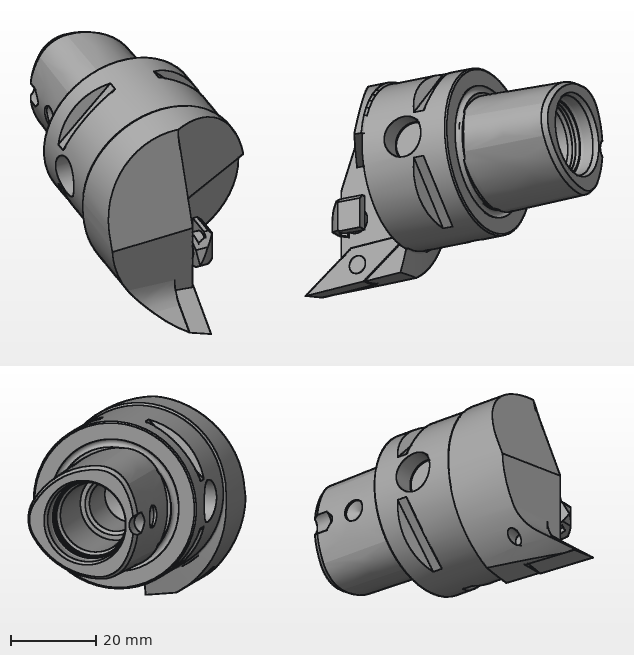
import cadquery as cq
import math


SHANK_LENGTH = 22.2
SHANK_TAPER = math.degrees(math.atan(1 / 40))
LOBE_REACH = 14.9
FLAT_REACH = 13.2
LOBE_CENTER = 6.3
SHANK_CHAMFER_LENGTH = 1.3
SHANK_CHAMFER_DEPTH = 0.75
COLLAR_START = 23.45
COLLAR_RADIUS = 14.0

FLANGE_START = 24.0
FLANGE_RADIUS = 20.0
FLANGE_CHAMFER = 0.4
FACE_GROOVE_OUTER_RADIUS = 15.75
GRIP_X = 31.9
GRIP_FLOOR_WIDTH = 2.6
GRIP_FLOOR_HEIGHT = 17.55
GRIP_HALF_ANGLE = 30.0
CHIP_HOLE_X = 35.8
CHIP_HOLE_DIAMETER = 10.0
FLOOR_BEVEL = 0.15
CHIP_HOLE_FLOOR = 14.6

BORE_STEPS = [
    (0.0, 10.1),
    (1.25, 9.55),
    (3.85, 9.55),
    (4.6, 9.3),
    (4.6, 8.95),
    (5.7, 8.95),
    (5.7, 9.1),
    (6.6, 9.1),
    (6.6, 8.95),
    (7.4, 8.3),
    (23.7, 8.3),
    (23.7, 7.1),
    (24.4, 6.3),
]
BORE_DEPTH = 37.0
DRILL_POINT_ANGLE = 118.0
KEY_HOLE_DIAMETER = 5.25
KEY_HOLE_OFFSET = 13.5
KEY_HOLE_DEPTH = 4.15
KEY_HOLE_POINT_ANGLE = 90.0
SIDE_HOLE_DIAMETER = 5.3
SIDE_HOLE_X = 12.5
SIDE_HOLE_FLOOR = 12.1

HEAD_FILLET_START = 46.1
HEAD_FILLET_MIDDLE = (46.6, 20.1)
HEAD_START = 46.85
HEAD_RADIUS = 20.5
HEAD_BACK_SLOPE = 0.28
OVERHANG_RADIUS = 25.0
OVERHANG_TOP = -2.95
HEAD_FRONT = 64.45
FRONT_RELIEF = 4.2
FRONT_FILLET = 6.65
WALL_Y = -0.3
CHIP_ROOF_Z = 2.6
SLANT_X = 63.6
SLANT_NORMAL = (1, -0.105, 0.366)
SIDE_SLANT_NORMAL = (1, 0.55, 0.22)

TOTAL_LENGTH = 74.0
TIP_Z = -27.0
INSERT_SIDE = 15.8
INSERT_ANGLE = 35.0
INSERT_TILT = 3.0
INSERT_THICKNESS = 4.8
INSERT_CLEARANCE = 7.0
SCREW_HEAD_DIAMETER = 4.4
SCREW_DIAMETER = 3.0
SCREW_LENGTH = 9.6

NOZZLE_STEM_X = 60.3
NOZZLE_STEM_Z = -10.7
NOZZLE_STEM_DIAMETER = 6.1
NOZZLE_BACK_X = 55.5
NOZZLE_UPPER_Z = -6.65
NOZZLE_LOWER_Z = -15.0
NOZZLE_HEAD_BASE = 4.0
NOZZLE_HEAD_TOP = 6.2
NOZZLE_HEAD_CHAMFER = 1.1
NOZZLE_HEAD_END_X = 61.6
NOZZLE_TIP_X = 66.2
NOZZLE_TIP_Y = 0.8
NOZZLE_TIP_Z = -12.6
NOZZLE_BEAK_MIDDLE = (64.2, 3.85)
NOZZLE_SCOOP = [
    (63.35, 0.45),
    (61.9, 0.3),
    (61.7, 1.3),
    (63.3, 1.8),
    (62.45, NOZZLE_HEAD_BASE),
]
NOZZLE_BEAK_ROOT_X = 64.4
NOZZLE_BEAK_UPPER_Z = -9.2
NOZZLE_BEAK_LOWER_Z = -14.05
NOZZLE_LOWER_END_X = 60.7

FAR = 148.0


def half_space(origin, normal):
    plane = cq.Plane(origin=origin, normal=normal)
    return cq.Workplane(plane).box(FAR, FAR, FAR, centered=(True, True, False))


def revolved(profile):
    """Turn an (x, radius) profile about the tool axis."""
    return profile.close().revolve(360, (0, 0, 0), (1, 0, 0))


def drill(diameter, depth, point_angle, bevel=0):
    """Drill body along +Z with a conical point beyond depth and an optional bevel before it."""
    radius = diameter / 2
    point_radius = radius - bevel
    point = point_radius / math.tan(math.radians(point_angle / 2))
    outline = [(0, 0), (radius, 0), (radius, depth - bevel)]
    if bevel > 0:
        outline.append((point_radius, depth))
    outline.append((0, depth + point))
    return cq.Workplane("XZ").polyline(outline).close().revolve(360, (0, 0, 0), (0, 1, 0))


def shank_outline(x, inset):
    """Rounded triangle of six tangent arcs at the given x, shrunk evenly by inset."""
    lobe_radius = LOBE_REACH - LOBE_CENTER
    gap = FLAT_REACH - lobe_radius
    flat_center = (LOBE_CENTER**2 - gap**2) / (2 * gap - LOBE_CENTER)
    flat_radius = FLAT_REACH + flat_center
    along = -LOBE_CENTER / 2 - flat_center
    across = LOBE_CENTER * math.sqrt(3) / 2
    join_angle = math.atan2(across, along)
    join_y = flat_center + (flat_radius - inset) * math.cos(join_angle)
    join_z = (flat_radius - inset) * math.sin(join_angle)
    join_reach = math.hypot(join_y, join_z)
    half_flat = math.pi - math.atan2(join_z, join_y)

    def polar(reach, angle):
        return (reach * math.cos(angle), reach * math.sin(angle))

    third = 2 * math.pi / 3
    outline = cq.Workplane("YZ", origin=(x, 0, 0)).moveTo(*polar(join_reach, math.pi - half_flat))
    for index in range(3):
        flat_middle = math.pi + index * third
        flat_end = flat_middle + half_flat
        lobe_middle = flat_middle + third / 2
        lobe_end = flat_middle + third - half_flat
        outline = outline.threePointArc(polar(FLAT_REACH - inset, flat_middle), polar(join_reach, flat_end))
        outline = outline.threePointArc(polar(LOBE_REACH - inset, lobe_middle), polar(join_reach, lobe_end))
    return outline.close()


def make_shank():
    taper_length = SHANK_LENGTH - SHANK_CHAMFER_LENGTH
    small_inset = taper_length * math.tan(math.radians(SHANK_TAPER))
    chamfer_angle = math.degrees(math.atan(SHANK_CHAMFER_DEPTH / SHANK_CHAMFER_LENGTH))
    shank = shank_outline(SHANK_LENGTH, 0).extrude(-taper_length, taper=SHANK_TAPER)
    end = shank_outline(SHANK_CHAMFER_LENGTH, small_inset)
    end = end.extrude(-SHANK_CHAMFER_LENGTH, taper=chamfer_angle)
    round_end = [
        (SHANK_LENGTH, 0),
        (SHANK_LENGTH, LOBE_REACH),
        (SHANK_LENGTH + LOBE_REACH - COLLAR_RADIUS, COLLAR_RADIUS),
        (FLANGE_START, COLLAR_RADIUS),
        (FLANGE_START, 0),
    ]
    neck = shank_outline(SHANK_LENGTH, 0).extrude(FLANGE_START - SHANK_LENGTH)
    neck = neck.intersect(revolved(cq.Workplane("XY").polyline(round_end)))
    collar = cq.Workplane("YZ", origin=(COLLAR_START, 0, 0)).circle(COLLAR_RADIUS)
    collar = collar.extrude(FLANGE_START - COLLAR_START)
    return shank.union(end).union(neck).union(collar)


def grip_groove(angle):
    """V-shaped groove running straight across the flange, facing the given angle from +Z."""
    height = FLANGE_RADIUS - GRIP_FLOOR_HEIGHT
    half_floor = GRIP_FLOOR_WIDTH / 2
    half_top = half_floor + height * math.tan(math.radians(GRIP_HALF_ANGLE))
    top = GRIP_FLOOR_HEIGHT + height
    outline = [
        (GRIP_X - half_floor, GRIP_FLOOR_HEIGHT),
        (GRIP_X + half_floor, GRIP_FLOOR_HEIGHT),
        (GRIP_X + half_top, top),
        (GRIP_X - half_top, top),
    ]
    half_chord = math.sqrt(FLANGE_RADIUS**2 - GRIP_FLOOR_HEIGHT**2)
    groove = cq.Workplane("XZ").polyline(outline).close().extrude(half_chord, both=True)
    return groove.rotate((0, 0, 0), (1, 0, 0), angle)


def make_flange():
    length = HEAD_START - FLANGE_START
    flange = cq.Workplane("YZ", origin=(FLANGE_START, 0, 0)).circle(FLANGE_RADIUS).extrude(length)
    flange = flange.faces("<X").chamfer(FLANGE_CHAMFER)
    groove_radius = (FACE_GROOVE_OUTER_RADIUS - COLLAR_RADIUS) / 2
    face_groove = (
        cq.Workplane("XY")
        .moveTo(FLANGE_START, COLLAR_RADIUS)
        .threePointArc(
            (FLANGE_START + groove_radius, COLLAR_RADIUS + groove_radius),
            (FLANGE_START, FACE_GROOVE_OUTER_RADIUS),
        )
    )
    flange = flange.cut(revolved(face_groove))
    for angle in (45, 135, 225, 315):
        flange = flange.cut(grip_groove(angle))
    return flange


def chip_hole(side):
    """Flat-bottomed hole in the flange on the +Y (side = 1) or -Y (side = -1) face."""
    plane = cq.Plane(origin=(CHIP_HOLE_X, side * CHIP_HOLE_FLOOR, 0), normal=(0, side, 0))
    hole = cq.Workplane(plane).circle(CHIP_HOLE_DIAMETER / 2).extrude(FLANGE_RADIUS)
    floor = "<Y" if side > 0 else ">Y"
    return hole.faces(floor).chamfer(FLOOR_BEVEL)


def make_bore():
    last_radius = BORE_STEPS[-1][1]
    point = last_radius / math.tan(math.radians(DRILL_POINT_ANGLE / 2))
    wall = [(0, 0), *BORE_STEPS, (BORE_DEPTH, last_radius), (BORE_DEPTH + point, 0)]
    return revolved(cq.Workplane("XY").polyline(wall))


def key_hole():
    tool = drill(KEY_HOLE_DIAMETER, KEY_HOLE_DEPTH, KEY_HOLE_POINT_ANGLE)
    tool = tool.rotate((0, 0, 0), (0, 1, 0), 90)
    return tool.translate((0, -KEY_HOLE_OFFSET, 0))


def side_hole():
    straight = FLANGE_RADIUS - SIDE_HOLE_FLOOR
    tool = drill(SIDE_HOLE_DIAMETER, straight, DRILL_POINT_ANGLE, FLOOR_BEVEL)
    tool = tool.rotate((0, 0, 0), (1, 0, 0), -90)
    return tool.translate((SIDE_HOLE_X, -FLANGE_RADIUS, 0))


def head_blank():
    """Round head with the overhang below it, bounded at the back by a fillet and a cone."""
    overhang_y = OVERHANG_RADIUS - HEAD_RADIUS
    bottom_z = OVERHANG_TOP - math.sqrt(OVERHANG_RADIUS**2 - (overhang_y - WALL_Y) ** 2)
    roof_y = math.sqrt(HEAD_RADIUS**2 - CHIP_ROOF_Z**2)
    middle = math.atan2(OVERHANG_TOP - bottom_z, overhang_y - WALL_Y) / 2
    arc_middle = (
        overhang_y - OVERHANG_RADIUS * math.cos(middle),
        OVERHANG_TOP - OVERHANG_RADIUS * math.sin(middle),
    )
    section = (
        cq.Workplane("YZ", origin=(HEAD_FILLET_START, 0, 0))
        .moveTo(WALL_Y, bottom_z)
        .lineTo(WALL_Y, CHIP_ROOF_Z)
        .lineTo(roof_y, CHIP_ROOF_Z)
        .threePointArc((0, HEAD_RADIUS), (-HEAD_RADIUS, 0))
        .lineTo(-HEAD_RADIUS, OVERHANG_TOP)
        .threePointArc(arc_middle, (WALL_Y, bottom_z))
        .close()
        .extrude(TOTAL_LENGTH)
    )
    cone_top = 2 * HEAD_RADIUS
    cone_x = HEAD_START + HEAD_BACK_SLOPE * (cone_top - HEAD_RADIUS)
    envelope = (
        cq.Workplane("XY")
        .moveTo(HEAD_FILLET_START, 0)
        .lineTo(HEAD_FILLET_START, FLANGE_RADIUS)
        .threePointArc(HEAD_FILLET_MIDDLE, (HEAD_START, HEAD_RADIUS))
        .lineTo(cone_x, cone_top)
        .lineTo(FAR, cone_top)
        .lineTo(FAR, 0)
    )
    return section.intersect(revolved(envelope))


def front_relief(depth, fillet):
    """Space in front of the head and above the overhang's nose, widening towards -Y."""
    slope = math.tan(math.radians(INSERT_ANGLE + INSERT_TILT))
    corner_z = TIP_Z + slope * (TOTAL_LENGTH - HEAD_FRONT)
    far_x = TOTAL_LENGTH + HEAD_RADIUS
    far_z = TIP_Z - slope * HEAD_RADIUS
    turn = math.radians(90 - INSERT_ANGLE - INSERT_TILT)
    arc_start_z = corner_z + fillet * math.tan(turn / 2)
    outline = cq.Workplane("XZ").moveTo(HEAD_FRONT, HEAD_RADIUS).lineTo(HEAD_FRONT, arc_start_z)
    if fillet > 0:
        arc_points = [
            (HEAD_FRONT + fillet * (1 - math.cos(angle)), arc_start_z - fillet * math.sin(angle))
            for angle in (turn / 2, turn)
        ]
        outline = outline.threePointArc(*arc_points)
    outline = outline.lineTo(far_x, far_z).lineTo(far_x, HEAD_RADIUS).close()
    return outline.extrude(depth, taper=-FRONT_RELIEF)


def insert_direction(angle):
    """Unit vector in the rake plane, from the tip backwards, raised by angle."""
    return cq.Vector(-math.cos(math.radians(angle)), 0, math.sin(math.radians(angle)))


TIP = cq.Vector(TOTAL_LENGTH, 0, TIP_Z)
LOWER_SIDE = insert_direction(INSERT_TILT) * INSERT_SIDE
UPPER_SIDE = insert_direction(INSERT_TILT + INSERT_ANGLE) * INSERT_SIDE
INSERT_CENTER = TIP + (LOWER_SIDE + UPPER_SIDE) * 0.5


def insert_prism(clearance):
    corners = [TIP, TIP + LOWER_SIDE, TIP + LOWER_SIDE + UPPER_SIDE, TIP + UPPER_SIDE]
    outline = cq.Workplane("XZ").polyline([(corner.x, corner.z) for corner in corners]).close()
    return outline.extrude(INSERT_THICKNESS, taper=clearance)


def on_insert_axis(diameter, length):
    """Cylinder along the screw axis, from the rake plane towards -Y."""
    plane = cq.Workplane("XZ", origin=(INSERT_CENTER.x, 0, INSERT_CENTER.z))
    return plane.circle(diameter / 2).extrude(length)


def make_head():
    head = head_blank()
    head = head.cut(half_space((SLANT_X, 0, 0), SLANT_NORMAL))
    apex_x = SLANT_X - SLANT_NORMAL[2] * HEAD_RADIUS
    rake_side = half_space((0, WALL_Y, 0), (0, 1, 0))
    head = head.cut(half_space((apex_x, 0, HEAD_RADIUS), SIDE_SLANT_NORMAL).intersect(rake_side))
    head = head.cut(front_relief(2 * HEAD_RADIUS, FRONT_FILLET))
    head = head.cut(front_relief(INSERT_THICKNESS, 0))
    bottom_normal = (
        -math.tan(math.radians(INSERT_TILT)),
        -math.tan(math.radians(INSERT_CLEARANCE)),
        -1,
    )
    return head.cut(half_space(TIP.toTuple(), bottom_normal))


def make_body():
    body = make_shank().union(make_flange()).union(make_head())
    for side in (1, -1):
        body = body.cut(chip_hole(side))
    body = body.cut(make_bore()).cut(key_hole()).cut(side_hole())
    body = body.cut(insert_prism(0))
    return body.cut(on_insert_axis(SCREW_DIAMETER, FAR))


def make_insert():
    return insert_prism(INSERT_CLEARANCE).cut(on_insert_axis(SCREW_HEAD_DIAMETER, INSERT_THICKNESS))


def make_screw():
    shaft = on_insert_axis(SCREW_DIAMETER, SCREW_LENGTH)
    return shaft.union(on_insert_axis(SCREW_HEAD_DIAMETER, INSERT_THICKNESS))


def nozzle_side():
    """Side shape of the head, with a beak curving down from the flat top to the tip."""
    outline = (
        cq.Workplane("XY")
        .moveTo(NOZZLE_BACK_X, NOZZLE_HEAD_BASE)
        .lineTo(NOZZLE_BACK_X, NOZZLE_HEAD_TOP)
        .lineTo(NOZZLE_HEAD_END_X, NOZZLE_HEAD_TOP)
        .threePointArc(NOZZLE_BEAK_MIDDLE, (NOZZLE_TIP_X, NOZZLE_TIP_Y))
    )
    for corner in NOZZLE_SCOOP:
        outline = outline.lineTo(*corner)
    return outline.close().extrude(FAR, both=True)


def nozzle_plan():
    """Shape of the head in the rake plane, narrowing to the beak."""
    corners = [
        (NOZZLE_BACK_X, NOZZLE_LOWER_Z),
        (NOZZLE_BACK_X, NOZZLE_UPPER_Z),
        (NOZZLE_HEAD_END_X, NOZZLE_UPPER_Z),
        (NOZZLE_BEAK_ROOT_X, NOZZLE_BEAK_UPPER_Z),
        (NOZZLE_TIP_X, NOZZLE_TIP_Z),
        (NOZZLE_BEAK_ROOT_X, NOZZLE_BEAK_LOWER_Z),
        (NOZZLE_LOWER_END_X, NOZZLE_LOWER_Z),
    ]
    return cq.Workplane("XZ").polyline(corners).close().extrude(-NOZZLE_HEAD_TOP)


def make_nozzle():
    """Nozzle with a round stem on the wall and a head whose beak points down at the insert."""
    stem = (
        cq.Workplane("XZ", origin=(NOZZLE_STEM_X, NOZZLE_HEAD_BASE, NOZZLE_STEM_Z))
        .circle(NOZZLE_STEM_DIAMETER / 2)
        .extrude(NOZZLE_HEAD_BASE - WALL_Y)
    )
    chamfer_start = (0, NOZZLE_HEAD_TOP - NOZZLE_HEAD_CHAMFER, NOZZLE_UPPER_Z)
    head = nozzle_side().intersect(nozzle_plan()).cut(half_space(chamfer_start, (0, 1, 1)))
    return stem.union(head)


body = make_body()
insert = make_insert()
screw = make_screw()
nozzle = make_nozzle()

result = cq.Compound.makeCompound([body.val(), insert.val(), screw.val(), nozzle.val()])